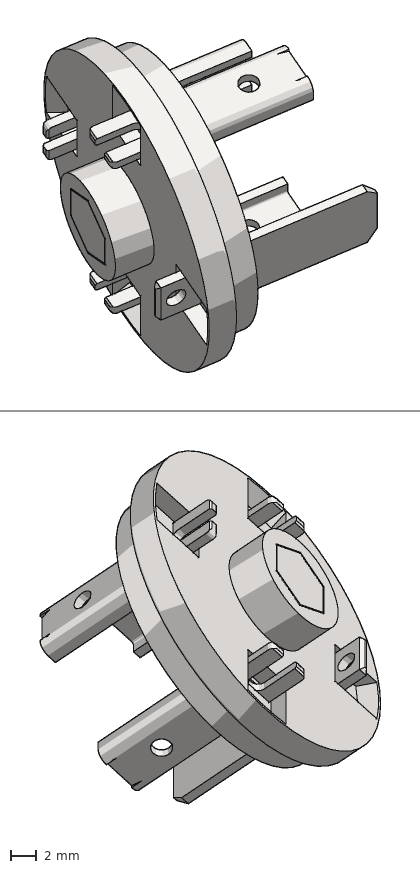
import cadquery as cq
import math


FLANGE_RADIUS = 13.5
FLANGE_THICKNESS = 2.5
FLANGE_FILLET = 0.25
BODY_RADIUS = 12.0
BODY_LENGTH = 2.6
BODY_BACK = FLANGE_THICKNESS + BODY_LENGTH
BOSS_RADIUS = 3.9
BOSS_LENGTH = 1.5
HUB_RADIUS = 4.5
HUB_LENGTH = 3.4

HEX_ACROSS_FLATS = 5.5
HEX_GROOVE_WIDTH = 0.075
HEX_GROOVE_DEPTH = 0.1

POCKET_WIDTH = 4.5
POCKET_INNER = 8.1
POCKET_RIM_RADIUS = 13.25
POCKET_FLOOR_RADIUS = 12.5
POCKET_DEPTH = 1.5

TERMINAL_RADIUS = 9.0
SHEET_THICKNESS = 0.8
SHEET_OUTER = TERMINAL_RADIUS + SHEET_THICKNESS / 2
SHEET_INNER = TERMINAL_RADIUS - SHEET_THICKNESS / 2
TAIL_WIDTH = 4.0
TAIL_REACH = 2.35

FORK_SLOT_WIDTH = 1.5
FORK_SLOT_CENTRE = 0.9
FORK_CORNER_RADIUS = 0.5
FORK_TIP_CHAMFER = 0.15

BLADE_LENGTH = 10.0
BLADE_END = BODY_BACK + BLADE_LENGTH
BLADE_WIDTH = 5.0
BLADE_HEIGHT = 1.85
BEND_RADIUS = 1.0
BLADE_HOLE_DIAMETER = 1.7
BLADE_HOLE_FROM_END = 4.35
LEAD_IN_LENGTH = 1.0
LEAD_IN_DEPTH = 0.25

EARTH_LENGTH = 12.0
EARTH_END = BODY_BACK + EARTH_LENGTH
EARTH_WIDTH = 6.3
EARTH_TIP_LENGTH = 1.0
EARTH_TIP_WIDTH = EARTH_WIDTH - 2 * EARTH_TIP_LENGTH
EARTH_TIP_THICKNESS = 0.4
EARTH_TAIL_CHAMFER = 0.3
EARTH_HOLE_DIAMETER = 1.7
EARTH_HOLE_FROM_END = 1.65

CONTACT_ANGLES = (0, 180, 270)
EARTH_ANGLE = 90
ALL_ANGLES = CONTACT_ANGLES + (EARTH_ANGLE,)


def box(x_size, y_start, y_end, z_start, z_end):
    """Block centred on X = 0 between the given Y and Z limits."""
    return cq.Workplane("XY").box(
        x_size, y_end - y_start, z_end - z_start, centered=(True, False, False)
    ).translate((0, y_start, z_start))


def disc(radius, y_start, y_end):
    """Cylinder on the Y axis between two Y positions."""
    return cq.Workplane("XZ", origin=(0, y_end, 0)).circle(radius).extrude(y_end - y_start)


def hole_along_z(diameter, y):
    """Drill running radially outward through a terminal at the given Y."""
    return cq.Workplane("XY", origin=(0, y, 0)).circle(diameter / 2).extrude(FLANGE_RADIUS)


def turned(shape, angle):
    """Copy of a terminal feature turned about the housing axis."""
    return shape.rotate((0, 0, 0), (0, 1, 0), angle)


def plain_tail():
    """Flat strip from the tail tip up to the back of the housing."""
    return box(TAIL_WIDTH, -TAIL_REACH, BODY_BACK, SHEET_INNER, SHEET_OUTER)


def make_pocket():
    """Straight-sided recess whose outer wall is conical."""
    pocket = box(POCKET_WIDTH, 0, POCKET_DEPTH, POCKET_INNER, FLANGE_RADIUS)
    cone = (
        cq.Workplane("XY")
        .polyline([
            (0, 0),
            (POCKET_RIM_RADIUS, 0),
            (POCKET_FLOOR_RADIUS, POCKET_DEPTH),
            (0, POCKET_DEPTH),
        ])
        .close()
        .revolve(360, (0, 0, 0), (0, 1, 0))
    )
    return pocket.intersect(cone)


def make_hex_groove():
    """Thin hexagonal ring, two corners on the Z axis."""
    def hexagon(across_flats):
        corner_diameter = across_flats / math.cos(math.pi / 6)
        return (
            cq.Workplane("XZ", origin=(0, HEX_GROOVE_DEPTH - HUB_LENGTH, 0))
            .transformed(rotate=(0, 0, 90))
            .polygon(6, corner_diameter)
            .extrude(HEX_GROOVE_DEPTH)
        )

    outer = hexagon(HEX_ACROSS_FLATS + 2 * HEX_GROOVE_WIDTH)
    return outer.cut(hexagon(HEX_ACROSS_FLATS))


def make_housing():
    flange = disc(FLANGE_RADIUS, 0, FLANGE_THICKNESS).faces(">Y").edges().fillet(FLANGE_FILLET)
    housing = (
        flange
        .union(disc(BODY_RADIUS, 0, BODY_BACK))
        .union(disc(BOSS_RADIUS, 0, BODY_BACK + BOSS_LENGTH))
        .union(disc(HUB_RADIUS, -HUB_LENGTH, FLANGE_THICKNESS))
        .cut(make_hex_groove())
    )
    pocket = make_pocket()
    tail_slot = plain_tail()
    for angle in ALL_ANGLES:
        housing = housing.cut(turned(pocket, angle)).cut(turned(tail_slot, angle))
    return housing


def make_fork_tail():
    """Two-pronged tail with rounded outer corners and a thinned tip."""
    thinned = plain_tail().faces("<Y").edges("|X").chamfer(FORK_TIP_CHAMFER)
    rounded = plain_tail().faces("<Y").edges("|Z").fillet(FORK_CORNER_RADIUS)
    slot = box(FORK_SLOT_WIDTH, -TAIL_REACH, FORK_SLOT_CENTRE, SHEET_INNER, SHEET_OUTER)
    slot = slot.union(hole_along_z(FORK_SLOT_WIDTH, FORK_SLOT_CENTRE))
    return thinned.intersect(rounded).cut(slot)


def make_folded_blade():
    """Channel of bent sheet, open towards the housing axis."""
    blade = (
        box(BLADE_WIDTH, BODY_BACK, BLADE_END, SHEET_OUTER - BLADE_HEIGHT, SHEET_OUTER)
        .faces(">Z").edges("|Y").fillet(BEND_RADIUS)
    )
    channel = (
        box(BLADE_WIDTH - 2 * SHEET_THICKNESS, BODY_BACK, BLADE_END,
            SHEET_OUTER - BLADE_HEIGHT, SHEET_INNER)
        .faces(">Z").edges("|Y").fillet(BEND_RADIUS - SHEET_THICKNESS)
    )
    flat_width = BLADE_WIDTH - 2 * BEND_RADIUS
    lead_in = (
        cq.Workplane("YZ", origin=(-flat_width / 2, 0, 0))
        .polyline([
            (BLADE_END - LEAD_IN_LENGTH, SHEET_OUTER),
            (BLADE_END, SHEET_OUTER),
            (BLADE_END, SHEET_OUTER - LEAD_IN_DEPTH),
        ])
        .close()
        .extrude(flat_width)
    )
    hole = hole_along_z(BLADE_HOLE_DIAMETER, BLADE_END - BLADE_HOLE_FROM_END)
    return blade.cut(channel).cut(lead_in).cut(hole)


def make_contact():
    return make_fork_tail().union(make_folded_blade())


def make_earth_blade():
    """Flat blade with a tapered tip and a drilled, chamfered tail."""
    tail = plain_tail().faces("<Y").edges().chamfer(EARTH_TAIL_CHAMFER)
    tail = tail.cut(hole_along_z(EARTH_HOLE_DIAMETER, EARTH_HOLE_FROM_END - TAIL_REACH))
    tip_start = EARTH_END - EARTH_TIP_LENGTH
    blade = box(EARTH_WIDTH, BODY_BACK, tip_start, SHEET_INNER, SHEET_OUTER)
    tip = (
        cq.Workplane(cq.Plane((0, tip_start, TERMINAL_RADIUS), (1, 0, 0), (0, 1, 0)))
        .rect(EARTH_WIDTH, SHEET_THICKNESS)
        .workplane(offset=EARTH_TIP_LENGTH)
        .rect(EARTH_TIP_WIDTH, EARTH_TIP_THICKNESS)
        .loft(ruled=True)
    )
    return tail.union(blade).union(tip)


housing = make_housing()
contact = make_contact()
contacts = [turned(contact, angle) for angle in CONTACT_ANGLES]
earth_blade = turned(make_earth_blade(), EARTH_ANGLE)

result = cq.Compound.makeCompound(
    [housing.val(), *[placed.val() for placed in contacts], earth_blade.val()]
)